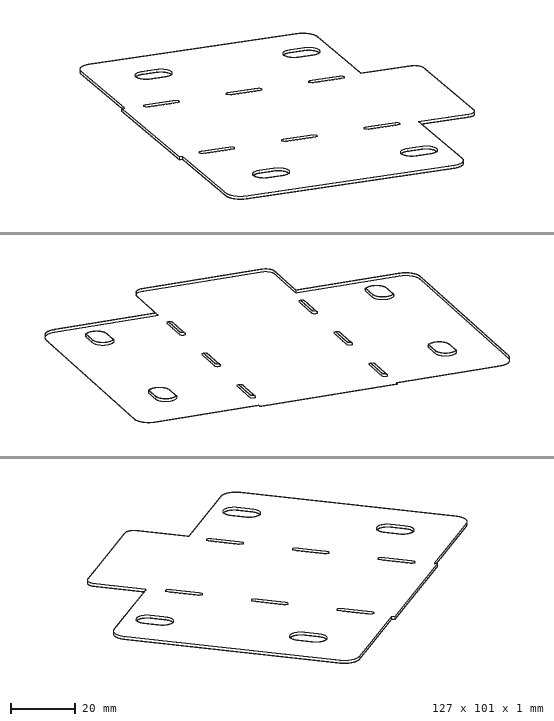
import cadquery as cq

plate_width = 127.0
plate_depth = 80.0
thickness = 1.0
plate_corner_radius = 5.0

strip_width = 46.7
tab_length = 20.0
tab_corner_radius = 3.0
lip_length = 1.0

mount_slot_length = 12.0
mount_slot_width = 7.0
mount_spacing_x = 95.0
mount_spacing_y = 50.0
mount_edge_distance = 10.0
mount_center_y = plate_depth / 2 - mount_edge_distance - mount_spacing_y / 2

narrow_slot_length = 12.0
narrow_slot_width = 1.9
narrow_slot_pitch = 28.0
narrow_slot_rows = 3
narrow_spacing_x = strip_width - narrow_slot_width


def make_plate():
    return (
        cq.Workplane("XY")
        .rect(plate_width, plate_depth)
        .extrude(thickness)
        .edges("|Z")
        .fillet(plate_corner_radius)
    )


def make_strip():
    strip_length = plate_depth + tab_length + lip_length
    center_y = (tab_length - lip_length) / 2
    return (
        cq.Workplane("XY")
        .center(0, center_y)
        .rect(strip_width, strip_length)
        .extrude(thickness)
        .edges("|Z and >Y")
        .fillet(tab_corner_radius)
    )


def slot_grid(spacing_x, spacing_y, rows, center_y, length, width):
    """Through-cutters for two columns of slots running along Y."""
    return (
        cq.Workplane("XY")
        .center(0, center_y)
        .rarray(spacing_x, spacing_y, 2, rows)
        .slot2D(length, width, 90)
        .extrude(thickness)
    )


mount_slots = slot_grid(
    mount_spacing_x, mount_spacing_y, 2, mount_center_y, mount_slot_length, mount_slot_width
)
narrow_slots = slot_grid(
    narrow_spacing_x, narrow_slot_pitch, narrow_slot_rows, 0, narrow_slot_length, narrow_slot_width
)

result = make_plate().union(make_strip()).cut(mount_slots).cut(narrow_slots)